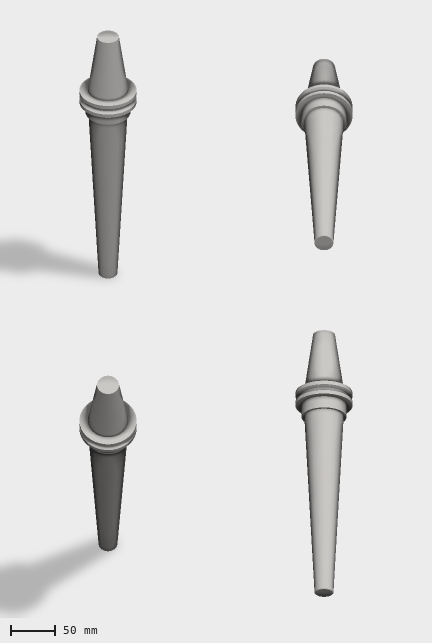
import cadquery as cq
import math


gauge_diameter = 44.45
taper_ratio = 7 / 24
shank_length = 68.45

flange_diameter = 63.55
flange_top = -3.2
flange_bottom = -19.1
groove_center = -11.1
groove_root_diameter = 56.0
groove_root_width = 2.9
groove_half_angle = math.radians(30)

collar_diameter = 50.0
nose_tip_diameter = 21.0
nose_half_angle = math.radians(3)
tip_chamfer = 0.6
nose_bottom = -250.0
nose_top = -33.0

shank_end_radius = (gauge_diameter - shank_length * taper_ratio) / 2
nose_tip_radius = nose_tip_diameter / 2
nose_top_radius = nose_tip_radius + (nose_top - nose_bottom) * math.tan(nose_half_angle)


def revolve_about_z(outline):
    """Revolve a closed outline of (radius, z) points a full turn about Z."""
    return cq.Workplane("XZ").polyline(outline).close().revolve(360, (0, 0, 0), (0, 1, 0))


def make_shank():
    """Tapered shank with a short straight neck down to the flange."""
    gauge_radius = gauge_diameter / 2
    return revolve_about_z([
        (0, shank_length),
        (shank_end_radius, shank_length),
        (gauge_radius, 0),
        (gauge_radius, flange_top),
        (0, flange_top),
    ])


def make_flange():
    """Flange disc with a flat-bottomed V-groove around its rim."""
    rim_radius = flange_diameter / 2
    root_radius = groove_root_diameter / 2
    root_half_width = groove_root_width / 2
    rim_half_width = root_half_width + (rim_radius - root_radius) * math.tan(groove_half_angle)
    return revolve_about_z([
        (0, flange_top),
        (rim_radius, flange_top),
        (rim_radius, groove_center + rim_half_width),
        (root_radius, groove_center + root_half_width),
        (root_radius, groove_center - root_half_width),
        (rim_radius, groove_center - rim_half_width),
        (rim_radius, flange_bottom),
        (0, flange_bottom),
    ])


def make_collar():
    """Plain cylinder between the flange and the nose."""
    base = cq.Workplane("XY").workplane(offset=nose_top)
    return base.circle(collar_diameter / 2).extrude(flange_bottom - nose_top)


def make_nose():
    """Long slender cone with a chamfered tip."""
    cone = revolve_about_z([
        (0, nose_top),
        (nose_top_radius, nose_top),
        (nose_tip_radius, nose_bottom),
        (0, nose_bottom),
    ])
    return cone.faces("<Z").edges().chamfer(tip_chamfer)


result = make_shank().union(make_flange()).union(make_collar()).union(make_nose())